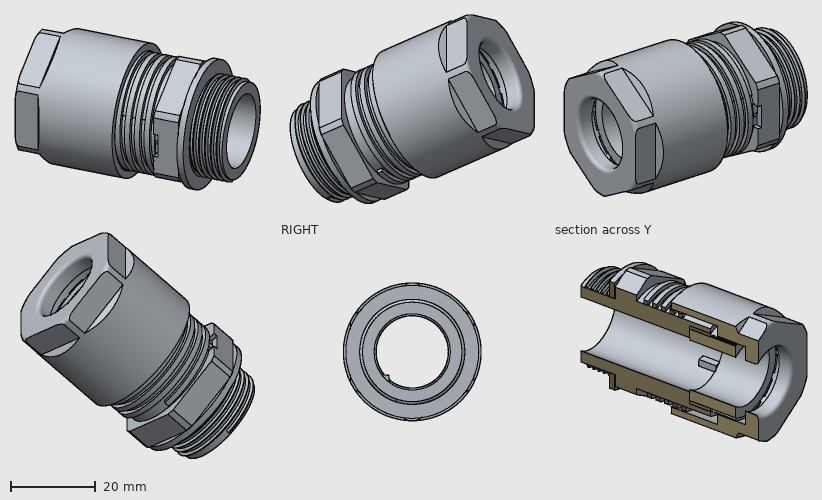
import cadquery as cq
import math

TOTAL_LENGTH = 51.71
OUTER_RADIUS = 32.53 / 2
HEX_FLAT_RADIUS = 29.0 / 2
HEX_SIDES = 6

CAP_END = 25.48
HEX_START = 35.4
HEX_END = 41.7
WASHER_START = 41.82
WASHER_END = 43.42

CAP_HEX_LENGTH = 5.85
CAP_SLANT_LENGTH = 1.04
CAP_EDGE_ROUND = 1.0
CAP_BORE_RADIUS = 17.28 / 2
CAP_LIP_LENGTH = 3.9
CAP_THREAD_BORE_START = 12.0
CAP_THREAD_BORE_RADIUS = 28.91 / 2

NECK_START = 14.0
NECK_RADIUS = 26.36 / 2
SPIGOT_RADIUS = 23.45 / 2
BODY_BORE_RADIUS = 17.97 / 2
WASHER_RADIUS = 31.37 / 2
SOCKET_DEPTH = 6.0

GROOVE_TOP_Z = 4.98
GROOVE_BOTTOM_Z = 1.56
GROOVE_DEPTH = 0.4

POCKET_START = HEX_START - 0.35
POCKET_END = HEX_START + 1.05
POCKET_HALF_WIDTH = 2.92
POCKET_UPPER_RADIUS = NECK_RADIUS - 0.18
POCKET_FLOOR_Y = -12.6
POCKET_STEP_TOP_Z = 0.5
POCKET_STEP_BOTTOM_Z = -0.6

RIB_TIP_RADIUS = 7.77
RIB_HALF_ANGLE = 8.6
RIB_DIRECTION = 225
RIB_LENGTH = 5.0

SEAL_START = 6.7
SEAL_BORE_RADIUS = 16.99 / 2
SEAL_RADIUS = 22.38 / 2
CAGE_START = SEAL_START
CAGE_RADIUS = 23.68 / 2
FINGER_COUNT = 12
FINGER_GAP = 1.6

NECK_THREAD_PITCH = 2.5
NECK_THREAD_RADIUS = 28.5 / 2
NECK_THREAD_WIDTH = 1.35
NECK_THREAD_END = 34.12
NECK_THREAD_TURNS = 5.5

SPIGOT_THREAD_PITCH = 1.5
SPIGOT_THREAD_RADIUS = 24.8 / 2
SPIGOT_THREAD_ROOT_WIDTH = 0.9
SPIGOT_THREAD_CREST_WIDTH = 0.12
SPIGOT_THREAD_START = 42.74
SPIGOT_THREAD_TURNS = 5.45


def revolved(points):
    """Turn an (x, radius) outline about the X axis."""
    return cq.Workplane("XY").polyline(points).close().revolve(360, (0, 0, 0), (1, 0, 0))


def tube(start, end, outer_radius, inner_radius):
    return revolved([(start, inner_radius), (end, inner_radius), (end, outer_radius), (start, outer_radius)])


def rod(start, end, radius):
    return cq.Workplane("YZ", origin=(start, 0, 0)).circle(radius).extrude(end - start)


def turned_about_x(shape, angle):
    return shape.rotate((0, 0, 0), (1, 0, 0), angle)


def make_cap_nut():
    cap = rod(0, CAP_END, OUTER_RADIUS).faces("<X").edges().fillet(CAP_EDGE_ROUND)

    slope_end = CAP_HEX_LENGTH + CAP_SLANT_LENGTH
    flat_cut = (
        cq.Workplane("XY", origin=(0, 0, -OUTER_RADIUS))
        .moveTo(0, HEX_FLAT_RADIUS)
        .lineTo(CAP_HEX_LENGTH, HEX_FLAT_RADIUS)
        .lineTo(slope_end, OUTER_RADIUS)
        .lineTo(0, OUTER_RADIUS)
        .close()
        .extrude(2 * OUTER_RADIUS)
    )
    for side in range(HEX_SIDES):
        cap = cap.cut(turned_about_x(flat_cut, side * 360 / HEX_SIDES))

    cap = cap.cut(rod(0, CAP_LIP_LENGTH, CAP_BORE_RADIUS))
    cap = cap.faces("<X").edges("%CIRCLE").edges(cq.selectors.RadiusNthSelector(0)).fillet(CAP_EDGE_ROUND)
    cap = cap.cut(rod(CAP_LIP_LENGTH, CAP_THREAD_BORE_START, CAGE_RADIUS))
    return cap.cut(rod(CAP_THREAD_BORE_START, CAP_END, CAP_THREAD_BORE_RADIUS))


def make_ratchet_groove():
    top_angle = math.asin(GROOVE_TOP_Z / NECK_RADIUS)
    foot_angle = math.asin(GROOVE_BOTTOM_Z / NECK_RADIUS)
    floor_radius = NECK_RADIUS - GROOVE_DEPTH
    middle_angle = (top_angle + foot_angle) / 2

    def at(radius, angle):
        return (-radius * math.cos(angle), radius * math.sin(angle))

    return (
        cq.Workplane("YZ", origin=(NECK_START, 0, 0))
        .moveTo(*at(NECK_RADIUS, foot_angle))
        .threePointArc(at(NECK_RADIUS - GROOVE_DEPTH / 2, middle_angle), at(floor_radius, top_angle))
        .lineTo(*at(NECK_RADIUS, top_angle))
        .threePointArc(at(NECK_RADIUS, middle_angle), at(NECK_RADIUS, foot_angle))
        .close()
        .extrude(HEX_START - NECK_START)
    )


def make_ratchet_pocket():
    def upper_y(z):
        return -math.sqrt(POCKET_UPPER_RADIUS**2 - z**2)

    middle_z = (POCKET_HALF_WIDTH + POCKET_STEP_TOP_Z) / 2
    return (
        cq.Workplane("YZ", origin=(POCKET_START, 0, 0))
        .moveTo(-OUTER_RADIUS, POCKET_HALF_WIDTH)
        .lineTo(upper_y(POCKET_HALF_WIDTH), POCKET_HALF_WIDTH)
        .threePointArc((upper_y(middle_z), middle_z), (upper_y(POCKET_STEP_TOP_Z), POCKET_STEP_TOP_Z))
        .lineTo(POCKET_FLOOR_Y, POCKET_STEP_BOTTOM_Z)
        .lineTo(POCKET_FLOOR_Y, -POCKET_HALF_WIDTH)
        .lineTo(-OUTER_RADIUS, -POCKET_HALF_WIDTH)
        .close()
        .extrude(POCKET_END - POCKET_START)
    )


def make_bore_rib():
    half_angle = math.radians(RIB_HALF_ANGLE)
    base_y = BODY_BORE_RADIUS * math.cos(half_angle)
    base_z = BODY_BORE_RADIUS * math.sin(half_angle)
    rib = (
        cq.Workplane("YZ", origin=(NECK_START + SOCKET_DEPTH, 0, 0))
        .moveTo(RIB_TIP_RADIUS, 0)
        .lineTo(base_y, base_z)
        .threePointArc((BODY_BORE_RADIUS, 0), (base_y, -base_z))
        .close()
        .extrude(RIB_LENGTH)
    )
    return turned_about_x(rib, RIB_DIRECTION)


def make_gland_body():
    hexagon = (
        cq.Workplane("YZ", origin=(HEX_START, 0, 0))
        .polygon(HEX_SIDES, 2 * HEX_FLAT_RADIUS, circumscribed=True)
        .extrude(HEX_END - HEX_START)
    )
    hexagon = hexagon.intersect(rod(HEX_START, HEX_END, OUTER_RADIUS))

    body = rod(NECK_START, HEX_END, NECK_RADIUS).cut(make_ratchet_groove())
    body = body.union(hexagon).union(rod(HEX_END, TOTAL_LENGTH, SPIGOT_RADIUS))
    body = body.cut(rod(NECK_START, TOTAL_LENGTH, BODY_BORE_RADIUS))
    body = body.cut(rod(NECK_START, NECK_START + SOCKET_DEPTH, CAGE_RADIUS))
    return body.cut(make_ratchet_pocket()).union(make_bore_rib())


def make_clamping_cage():
    cage = tube(CAGE_START, NECK_START + SOCKET_DEPTH, CAGE_RADIUS, SEAL_RADIUS)
    slot_length = NECK_START - CAGE_START
    slot = cq.Workplane("XY").box(slot_length, 2 * CAGE_RADIUS, FINGER_GAP, centered=(False, False, True))
    slot = slot.translate((CAGE_START, 0, 0))
    for finger in range(FINGER_COUNT):
        cage = cage.cut(turned_about_x(slot, finger * 360 / FINGER_COUNT))
    return cage


def make_thread(start, turns, pitch, root_radius, crest_radius, root_width, crest_width):
    """Right-hand thread ridge about X that begins at the top (+Z)."""
    helix = cq.Wire.makeHelix(pitch, turns * pitch, root_radius)
    ridge = (
        cq.Workplane("XZ")
        .polyline(
            [
                (root_radius, -root_width / 2),
                (crest_radius, -crest_width / 2),
                (crest_radius, crest_width / 2),
                (root_radius, root_width / 2),
            ]
        )
        .close()
        .sweep(cq.Workplane(obj=helix), isFrenet=True)
    )
    along_x = ridge.rotate((0, 0, 0), (1, 1, 1), 120)
    return turned_about_x(along_x, 90).translate((start, 0, 0))


cap_nut = make_cap_nut()
gland_body = make_gland_body()
washer = tube(WASHER_START, WASHER_END, WASHER_RADIUS, SPIGOT_RADIUS)
seal = tube(SEAL_START, NECK_START + SOCKET_DEPTH, SEAL_RADIUS, SEAL_BORE_RADIUS)
clamping_cage = make_clamping_cage()

neck_thread = make_thread(
    NECK_THREAD_END - NECK_THREAD_TURNS * NECK_THREAD_PITCH,
    NECK_THREAD_TURNS,
    NECK_THREAD_PITCH,
    NECK_RADIUS,
    NECK_THREAD_RADIUS,
    NECK_THREAD_WIDTH,
    NECK_THREAD_WIDTH,
)

spigot_thread = make_thread(
    SPIGOT_THREAD_START,
    SPIGOT_THREAD_TURNS,
    SPIGOT_THREAD_PITCH,
    SPIGOT_RADIUS,
    SPIGOT_THREAD_RADIUS,
    SPIGOT_THREAD_ROOT_WIDTH,
    SPIGOT_THREAD_CREST_WIDTH,
).intersect(rod(WASHER_END, TOTAL_LENGTH, OUTER_RADIUS))

bodies = [cap_nut, gland_body, washer, seal, clamping_cage, neck_thread, spigot_thread]
result = cq.Compound.makeCompound([body.solids().val() for body in bodies])